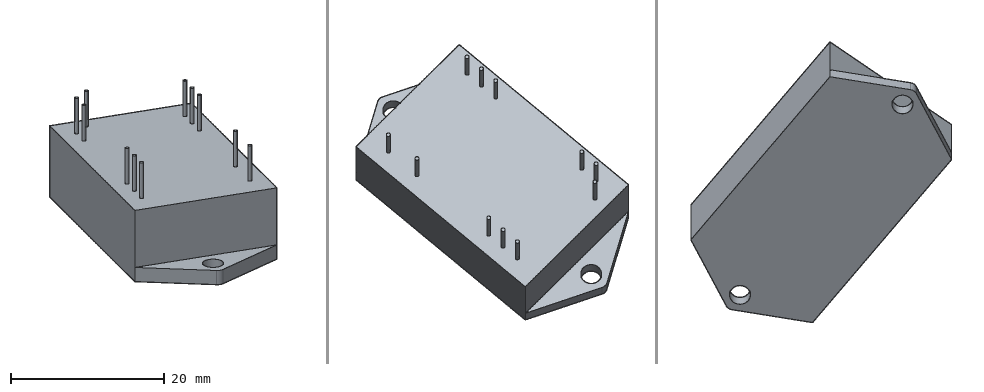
import cadquery as cq
import math

overall_length = 40.0
body_length = 30.0
width = 20.0
body_height = 10.15
overall_height = 15.2

flange_thickness = 2.05
tip_radius = 1.0
hole_diameter = 2.7
hole_offset = 17.5

pin_diameter = 0.5
row_spacing = 15.25
pitch = row_spacing / 6
row_y = row_spacing / 2
back_row_steps = (-4.5, -3.5, -2.5, 2.5, 4.5)
front_row_steps = (-4.5, -3.5, 2.5, 3.5, 4.5)
extra_pin = (-13.08, -5.6)


def make_flange():
    """Flat hexagon with rounded end tips and a mounting hole at each end."""
    corner_x = body_length / 2
    corner_y = width / 2
    round_center_x = overall_length / 2 - tip_radius
    corner_distance = math.hypot(round_center_x - corner_x, corner_y)
    corner_angle = math.atan2(corner_y, corner_x - round_center_x)
    tangent_angle = corner_angle - math.acos(tip_radius / corner_distance)
    tip_x = round_center_x + tip_radius / math.cos(tangent_angle)
    outline = [
        (tip_x, 0),
        (corner_x, corner_y),
        (-corner_x, corner_y),
        (-tip_x, 0),
        (-corner_x, -corner_y),
        (corner_x, -corner_y),
    ]
    plate = cq.Workplane("XY").polyline(outline).close().extrude(flange_thickness)
    plate = plate.edges("|Z and (<X or >X)").fillet(tip_radius)
    holes = (
        cq.Workplane("XY")
        .pushPoints([(-hole_offset, 0), (hole_offset, 0)])
        .circle(hole_diameter / 2)
        .extrude(flange_thickness)
    )
    return plate.cut(holes)


def make_body():
    """Rectangular block over the middle of the flange."""
    return cq.Workplane("XY").box(body_length, width, body_height, centered=(True, True, False))


def make_pins():
    """Pins standing on the top face of the body."""
    points = [(step * pitch, row_y) for step in back_row_steps]
    points += [(step * pitch, -row_y) for step in front_row_steps]
    points.append(extra_pin)
    return (
        cq.Workplane("XY")
        .workplane(offset=body_height)
        .pushPoints(points)
        .circle(pin_diameter / 2)
        .extrude(overall_height - body_height)
    )


result = make_flange().union(make_body()).union(make_pins())